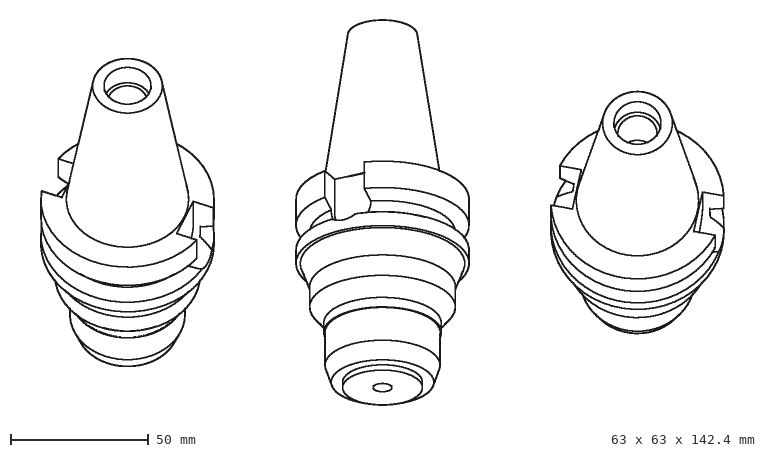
import cadquery as cq

total_length = 142.4
nose_tip_top = 2.1
nose_chamfer_top = 9.0
nose_top = 22.2
collar_top = 26.0
lower_cone_top = 32.5
hub_top = 40.7
flange_bottom = 50.1
groove_lower_edge = 55.7
groove_floor_bottom = 58.2
groove_floor_top = 62.7
groove_upper_edge = 65.5
flange_top = 76.2
gauge_plane = 77.0

nose_tip_radius = 14.5
nose_face_radius = 18.7
nose_radius = 21.0
collar_radius = 21.4
hub_radius = 26.5
groove_radius = hub_radius
upper_cone_radius = 29.9
flange_radius = 31.5
gauge_radius = 22.2

taper_ratio = 7 / 24
taper_length = total_length - gauge_plane
taper_end_radius = gauge_radius - taper_length * taper_ratio / 2

socket_radius = 8.5
socket_depth = 9.0
thread_radius = 7.1
thread_end_depth = 29.9
through_hole_radius = 3.4

slot_width = 16.1
slot_floor_x = 22.5
slot_bottom = 54.1


def make_body():
    """Revolve the outside profile, given as (radius, height), about Z."""
    profile = [
        (0, 0),
        (nose_tip_radius, 0),
        (nose_tip_radius, nose_tip_top),
        (nose_face_radius, nose_tip_top),
        (nose_radius, nose_chamfer_top),
        (nose_radius, nose_top),
        (collar_radius, nose_top),
        (collar_radius, collar_top),
        (hub_radius, lower_cone_top),
        (hub_radius, hub_top),
        (upper_cone_radius, flange_bottom),
        (flange_radius, flange_bottom),
        (flange_radius, groove_lower_edge),
        (groove_radius, groove_floor_bottom),
        (groove_radius, groove_floor_top),
        (flange_radius, groove_upper_edge),
        (flange_radius, flange_top),
        (gauge_radius, flange_top),
        (gauge_radius, gauge_plane),
        (taper_end_radius, total_length),
        (0, total_length),
    ]
    return cq.Workplane("XZ").polyline(profile).close().revolve(360, (0, 0), (0, 1))


def make_bore(radius, depth):
    """Cylinder reaching down from the taper end."""
    return cq.Workplane("XY").workplane(offset=total_length).circle(radius).extrude(-depth)


def make_drive_slot(side):
    """Round-bottomed slot cutter on the +X (side=1) or -X (side=-1) side."""
    half_width = slot_width / 2
    arc_center = slot_bottom + half_width
    return (
        cq.Workplane("YZ")
        .workplane(offset=side * slot_floor_x)
        .moveTo(-half_width, flange_top)
        .lineTo(-half_width, arc_center)
        .threePointArc((0, slot_bottom), (half_width, arc_center))
        .lineTo(half_width, flange_top)
        .close()
        .extrude(side * flange_radius)
    )


result = make_body()
for bore_radius, bore_depth in (
    (socket_radius, socket_depth),
    (thread_radius, thread_end_depth),
    (through_hole_radius, total_length),
):
    result = result.cut(make_bore(bore_radius, bore_depth))
for slot_side in (-1, 1):
    result = result.cut(make_drive_slot(slot_side))